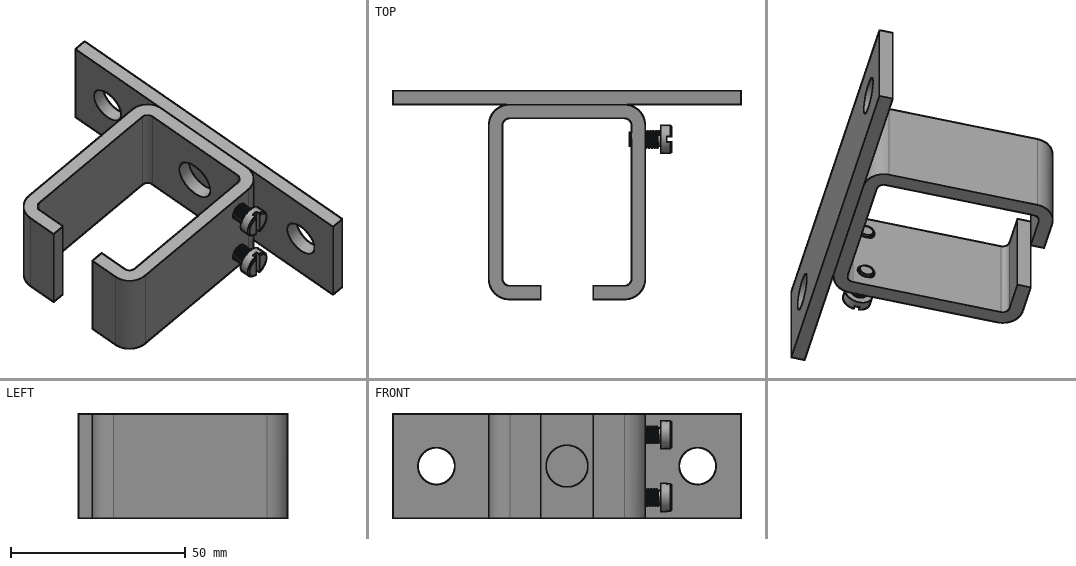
import cadquery as cq

height = 30.0

plate_length = 100.0
plate_thickness = 4.0
mounting_hole_diameter = 10.5
mounting_hole_spacing = 75.0

channel_width = 45.0
channel_depth = 56.0
channel_wall = 4.0
channel_outer_radius = 6.0
channel_inner_radius = channel_outer_radius - channel_wall
channel_mouth = 15.0
web_hole_diameter = 12.0

screw_diameter = 5.0
screw_hole_diameter = 5.02
thread_root_diameter = 4.0
thread_pitch = 0.8
thread_crest_flat = 0.1
thread_root_flat = 0.1
thread_sink = 0.05
plain_tip_length = 0.3
thread_runout = 0.03
head_diameter = 8.1
head_thickness = 3.15
head_chamfer = 0.4
slot_width = 1.5
slot_depth = 1.3
screw_tip_protrusion = 0.6
head_standoff = 4.35
screw_spacing = 18.0
screw_setback = 10.0

web_back_y = -plate_thickness
channel_front_y = web_back_y - channel_depth
channel_middle_y = web_back_y - channel_depth / 2
side_outer_x = channel_width / 2
side_inner_x = side_outer_x - channel_wall
tip_x = side_inner_x - screw_tip_protrusion
head_x = side_outer_x + head_standoff
head_end_x = head_x + head_thickness
screw_y = web_back_y - screw_setback
screw_heights = [-screw_spacing / 2, screw_spacing / 2]


def cylinder_along_y(diameter, x, y_start, y_end):
    """Round bar at mid height, running toward -Y from y_start to y_end."""
    return (
        cq.Workplane("XZ", origin=(x, y_start, 0))
        .circle(diameter / 2)
        .extrude(y_start - y_end)
    )


def make_plate():
    """Flat mounting plate with one bolt hole near each end."""
    plate = cq.Workplane("XY").box(plate_length, plate_thickness, height)
    plate = plate.translate((0, -plate_thickness / 2, 0))
    for side in (-1, 1):
        x = side * mounting_hole_spacing / 2
        plate = plate.cut(cylinder_along_y(mounting_hole_diameter, x, 0, web_back_y))
    return plate


def rounded_block(width, depth, radius):
    """Full-height block with rounded upright edges, centred on the channel."""
    block = cq.Workplane("XY").box(width, depth, height)
    return block.edges("|Z").fillet(radius).translate((0, channel_middle_y, 0))


def make_channel():
    """C-shaped rail with lips, a round hole in its web and two screw holes in one side."""
    outside = rounded_block(channel_width, channel_depth, channel_outer_radius)
    inside = rounded_block(
        channel_width - 2 * channel_wall, channel_depth - 2 * channel_wall, channel_inner_radius
    )
    mouth = (
        cq.Workplane("XY")
        .box(channel_mouth, 2 * channel_wall, height)
        .translate((0, channel_front_y, 0))
    )
    channel = outside.cut(inside).cut(mouth)
    channel = channel.cut(cylinder_along_y(web_hole_diameter, 0, web_back_y, web_back_y - channel_wall))
    for z in screw_heights:
        screw_hole = (
            cq.Workplane("YZ", origin=(side_inner_x, screw_y, z))
            .circle(screw_hole_diameter / 2)
            .extrude(channel_wall)
        )
        channel = channel.cut(screw_hole)
    return channel


def make_thread():
    """Helical ridge around X, from the plain tip to just short of the head; its foot sinks into the core."""
    foot_radius = thread_root_diameter / 2 - thread_sink
    crest_radius = screw_diameter / 2
    half_foot = (thread_pitch - thread_root_flat) / 2
    half_crest = thread_crest_flat / 2
    start_x = tip_x + plain_tip_length + half_foot
    end_x = head_x - thread_runout - half_foot
    helix = cq.Wire.makeHelix(
        thread_pitch,
        end_x - start_x,
        foot_radius,
        center=cq.Vector(start_x, 0, 0),
        dir=cq.Vector(1, 0, 0),
    )
    start = helix.startPoint()
    outward = cq.Vector(0, start.y, start.z)
    along = cq.Vector(1, 0, 0)
    section_plane = cq.Plane(origin=(start_x, 0, 0), xDir=along, normal=along.cross(outward))
    return (
        cq.Workplane(section_plane)
        .moveTo(-half_foot, foot_radius)
        .lineTo(-half_crest, crest_radius)
        .lineTo(half_crest, crest_radius)
        .lineTo(half_foot, foot_radius)
        .close()
        .sweep(cq.Workplane(helix), isFrenet=True)
    )


def make_screw(z):
    """Slotted cheese-head screw along X with a helical thread up to its head."""
    core = (
        cq.Workplane("YZ", origin=(tip_x, 0, 0))
        .circle(thread_root_diameter / 2)
        .extrude(head_x - tip_x)
    )
    head = (
        cq.Workplane("YZ", origin=(head_x, 0, 0))
        .circle(head_diameter / 2)
        .extrude(head_thickness)
        .faces(">X")
        .chamfer(head_chamfer)
    )
    slot = (
        cq.Workplane("XY")
        .box(slot_depth, slot_width, head_diameter)
        .translate((head_end_x - slot_depth / 2, 0, 0))
    )
    screw = core.union(head).cut(slot).union(make_thread())
    return screw.translate((0, screw_y, z))


plate = make_plate()
channel = make_channel()
screws = [make_screw(z) for z in screw_heights]

result = cq.Compound.makeCompound([plate.val(), channel.val(), *[screw.val() for screw in screws]])